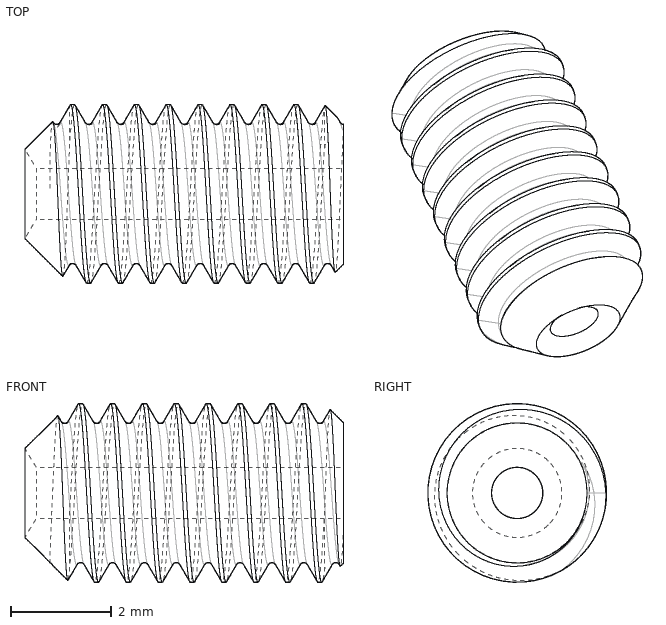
import cadquery as cq
import math

length = 6.35
outer_diameter = 3.56
outer_radius = outer_diameter / 2

point_radius = 0.89
rear_radius = 1.4

bore_radius = 0.51
cup_half_angle = math.radians(59)
cup_depth = (point_radius - bore_radius) / math.tan(cup_half_angle)

pitch = 0.635
crest_width = pitch / 8
flank_angle = math.radians(30)
root_fillet = 0.09
cutter_overlap = 0.03
groove_turns = math.ceil(length / pitch) + 1


def make_blank():
    """Revolve the body, including the point, cup, bore and rear chamfer."""
    point_length = outer_radius - point_radius
    chamfer_length = outer_radius - rear_radius
    return (
        cq.Workplane("XY")
        .moveTo(0, point_radius)
        .lineTo(point_length, outer_radius)
        .lineTo(length - chamfer_length, outer_radius)
        .lineTo(length, rear_radius)
        .lineTo(length, bore_radius)
        .lineTo(cup_depth, bore_radius)
        .close()
        .revolve(360, (0, 0, 0), (1, 0, 0))
    )


def make_groove_turn():
    """Sweep one turn of the thread groove around Z, then turn it onto the X axis."""
    half_opening = (pitch - crest_width) / 2
    slope = math.tan(flank_angle)
    apex_radius = outer_radius - half_opening / slope
    arc_center = apex_radius + root_fillet / math.sin(flank_angle)
    tangent_radius = arc_center - root_fillet * math.sin(flank_angle)
    tangent_offset = root_fillet * math.cos(flank_angle)
    mouth_radius = outer_radius + cutter_overlap
    mouth_offset = half_opening + cutter_overlap * slope

    profile = (
        cq.Workplane("XZ")
        .moveTo(mouth_radius, -mouth_offset)
        .lineTo(tangent_radius, -tangent_offset)
        .threePointArc((arc_center - root_fillet, 0), (tangent_radius, tangent_offset))
        .lineTo(mouth_radius, mouth_offset)
        .close()
    )
    helix = cq.Wire.makeHelix(pitch, pitch, outer_radius)
    groove = profile.sweep(cq.Workplane(obj=helix), isFrenet=True)
    return groove.rotate((0, 0, 0), (1, 1, 1), 120)


def cut_thread(body):
    """Cut the groove turn by turn, running out past both ends of the body."""
    groove_turn = make_groove_turn()
    for turn in range(groove_turns):
        body = body.cut(groove_turn.translate((turn * pitch, 0, 0)))
    return body


result = cut_thread(make_blank())